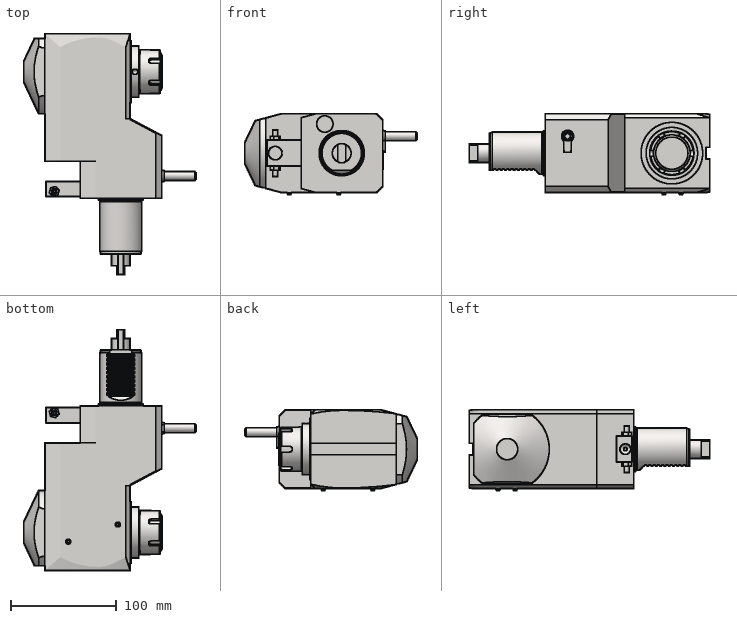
import cadquery as cq
import math


OVERALL_LENGTH = 228.0

TOP_Z = 37.5
HEAD_LEFT_X = -71.8
HEAD_RIGHT_X = 9.0
BASE_LEFT_X = -38.5
BASE_RIGHT_X = 39.0
BACK_Y = 156.0
STEP_Y = 35.0
SLOPE_START_Y = 59.5
SLOPE_END_Y = 75.5
LEFT_BEVEL = 14.5
LEFT_BEVEL_ANGLE = 15
LEFT_BEVEL_DROP = LEFT_BEVEL * math.tan(math.radians(LEFT_BEVEL_ANGLE))
BASE_BEVEL = 6.0
HEAD_BEVEL = 4.0
SLOPE_BEVEL = 0.7
CROWN_X = -21.2
CROWN_DROP = 0.7
CROWN_Y = 152.5
CROWN_END_Y = 143.2
KEYWAY_WIDTH = 10.7
KEYWAY_DEPTH = 3.6
PLUG_X = -16.0
PLUG_Z = 27.5
PLUG_RADIUS = 7.8
PLUG_RECESS = 0.2
NIPPLE_CENTERS = [(-49.7, 128.5), (-2.7, 112.5)]
NIPPLE_RADIUS = 2.3
NIPPLE_TIP_RADIUS = 1.4
NIPPLE_HEIGHT = 1.8

SPINDLE_Y = 120.0
CAP_RADIUS = 40.0
CAP_TIP_RADIUS = 10.0
CAP_TIP_X = -91.9
CAP_RIM_X = -77.7
CAP_BACK_Y = 151.6
CAP_HALF_HEIGHT = 32.8
PLATE_RADIUS = 29.2
PLATE_END_X = 9.8
COLLAR_RADIUS = 24.5
COLLAR_END_X = 17.0
COLLAR_HOLE_RADIUS = 2.7
COLLAR_HOLE_DEPTH = 2.7
NECK_RADIUS = 16.9
NUT_RADIUS = 21.0
NUT_START_X = 18.2
NUT_BEVEL_X = 36.3
NUT_END_X = 37.6
NUT_BEVEL_RADIUS = 20.3
NUT_LIP_RADIUS = 17.3
NUT_LIP_X = 38.3
NUT_FACE_RADIUS = 15.3
NUT_FACE_X = 39.2
NUT_SLOTS = 6
NUT_SLOT_START_X = 26.5
NUT_SLOT_WIDTH = 5.5
NUT_SLOT_DEPTH = 3.5

SHANK_RADIUS = 20.0
SHANK_LENGTH = 53.0
SHANK_TIP_RADIUS = 19.4
SHANK_TIP_LENGTH = 2.7
SHANK_TIP_BEVEL = 0.7
FLANGE_RADIUS = 21.5
FLANGE_RIM = 1.4
FLANGE_LENGTH = 2.3
RELIEF_RADIUS = 19.5
RELIEF_END = 3.2
RACK_TIP_Z = -16.5
RACK_ROOT_Z = -15.0
RACK_START = 10.3
FIRST_TOOTH = 13.2
LAST_TOOTH = 45.5
TOOTH_GAPS = 8
TOOTH_TIP = 0.7
TOOTH_ROOT = 1.1
TANG_RADIUS = 9.0
TANG_SHOULDER = 63.8
TANG_END = BACK_Y - OVERALL_LENGTH
BLADE_THICKNESS = 8.0
BLADE_BEVEL = 1.5

BLOCK_LEFT_X = -71.0
BLOCK_FRONT_Y = 1.5
BLOCK_BACK_Y = 16.5
BLOCK_HEIGHT = 25.0
BLOCK_BEVEL = 0.5
FRONT_PORT_X = -63.0
FRONT_PORT_RADIUS = 6.4
FRONT_PORT_DEPTH = 11.9
SIDE_PORT_Y = 8.0
SIDE_PORT_RADIUS = 5.0
FEED_RADIUS = 1.5
SCREW_Y = 6.5
SCREW_RADIUS = 2.5
SCREW_TOP = 22.1
SCREW_SOCKET_WIDTH = 2.7
SCREW_SOCKET_DEPTH = 2.3
HEX_CORNERS = 9.5
HEX_TOP = 16.2
HEX_TURN = 15

PIN_Y = 21.2
PIN_Z = 16.0
PIN_RADIUS = 4.3
PIN_END_X = 71.5
PIN_BEVEL = 1.5
PIN_COLLAR_RADIUS = 5.7
PIN_COLLAR_TIP_RADIUS = 5.0
PIN_COLLAR_LENGTH = 2.3
LUG_WIDTH = 6.8
LUG_BOTTOM_Z = 0.7
LUG_TAPER = 1.4

OVERLAP = 1.1
MARGIN = 11.5


def box(x0, x1, y0, y1, z0, z1):
    """Box between two opposite corners."""
    return cq.Workplane("XY").box(x1 - x0, y1 - y0, z1 - z0, centered=False).translate((x0, y0, z0))


def prism_along_y(points, y0, y1):
    """Polygon of (x, z) points swept from y0 to y1."""
    return cq.Workplane("XZ", origin=(0, y0, 0)).polyline(points).close().extrude(y0 - y1)


def turned_about_x(points, y, z):
    """Turned body from an (x, radius) outline about an X-parallel axis."""
    body = cq.Workplane("XY").polyline(points).close().revolve(360, (0, 0, 0), (1, 0, 0))
    return body.translate((0, y, z))


def both_sides(body):
    """A body together with its mirror image below Z = 0."""
    return body.union(body.mirror("XY"))


def edge_bevel(x, width, drop, y0, y1):
    """Cutters for the upper and lower edge at x; a positive width cuts toward +X."""
    corner = [
        (x, TOP_Z - drop),
        (x + width, TOP_Z),
        (x + width, TOP_Z + MARGIN),
        (x - width, TOP_Z + MARGIN),
        (x - width, TOP_Z - 2 * drop),
    ]
    return both_sides(prism_along_y(corner, y0, y1))


def halfway_on_arc(peak, end):
    """Middle point of the arc that leaves the peak level and falls to the end."""
    run = end[0] - peak[0]
    half_angle = math.atan2(peak[1] - end[1], abs(run))
    radius = run / math.sin(2 * half_angle)
    return (peak[0] + radius * math.sin(half_angle), peak[1] - abs(radius) * (1 - math.cos(half_angle)))


def crown_section(y, left, peak, right):
    """Closed (x, z) wire above two arcs that meet level at the peak, in the plane at y."""
    roof_z = TOP_Z + MARGIN
    return (
        cq.Workplane("XZ", origin=(0, y, 0))
        .moveTo(*left)
        .threePointArc(halfway_on_arc(peak, left), peak)
        .threePointArc(halfway_on_arc(peak, right), right)
        .lineTo(right[0], roof_z)
        .lineTo(left[0], roof_z)
        .close()
        .val()
    )


def crown_cutter():
    """Cutters that give the back of the head its crowned, sloping surfaces."""
    rise = CROWN_DROP * (BACK_Y - CROWN_END_Y) / (BACK_Y - CROWN_Y)
    back = crown_section(
        BACK_Y,
        (HEAD_LEFT_X, TOP_Z - LEFT_BEVEL_DROP),
        (CROWN_X, TOP_Z - CROWN_DROP),
        (HEAD_RIGHT_X, TOP_Z - HEAD_BEVEL),
    )
    front = crown_section(
        CROWN_END_Y,
        (HEAD_LEFT_X + LEFT_BEVEL, TOP_Z),
        (CROWN_X, TOP_Z - CROWN_DROP + rise),
        (HEAD_RIGHT_X - HEAD_BEVEL, TOP_Z),
    )
    return both_sides(cq.Workplane(obj=cq.Solid.makeLoft([back, front], True)))


def housing():
    """Beveled body with a crowned back, a keyway and a plug recess in the mounting face."""
    outline = [
        (BASE_LEFT_X, 0),
        (BASE_RIGHT_X, 0),
        (BASE_RIGHT_X, SLOPE_START_Y),
        (HEAD_RIGHT_X, SLOPE_END_Y),
        (HEAD_RIGHT_X, BACK_Y),
        (HEAD_LEFT_X, BACK_Y),
        (HEAD_LEFT_X, STEP_Y),
        (BASE_LEFT_X, STEP_Y),
    ]
    body = cq.Workplane("XY").workplane(offset=-TOP_Z).polyline(outline).close().extrude(2 * TOP_Z)
    slope = cq.Vector(HEAD_RIGHT_X - BASE_RIGHT_X, SLOPE_END_Y - SLOPE_START_Y, 0)
    body = body.edges(cq.selectors.ParallelDirSelector(slope)).chamfer(SLOPE_BEVEL)
    body = body.cut(edge_bevel(HEAD_LEFT_X, LEFT_BEVEL, LEFT_BEVEL_DROP, STEP_Y, BACK_Y))
    body = body.cut(edge_bevel(BASE_LEFT_X, LEFT_BEVEL, LEFT_BEVEL_DROP, 0, STEP_Y))
    body = body.cut(edge_bevel(HEAD_RIGHT_X, -HEAD_BEVEL, HEAD_BEVEL, SLOPE_END_Y, BACK_Y))
    body = body.cut(edge_bevel(BASE_RIGHT_X, -BASE_BEVEL, BASE_BEVEL, 0, SLOPE_END_Y))
    body = body.cut(crown_cutter())
    keyway = box(
        HEAD_LEFT_X, HEAD_RIGHT_X, BACK_Y - KEYWAY_DEPTH, BACK_Y, -KEYWAY_WIDTH / 2, KEYWAY_WIDTH / 2
    )
    plug = cq.Workplane("XZ").center(PLUG_X, PLUG_Z).circle(PLUG_RADIUS).extrude(-PLUG_RECESS)
    return body.cut(keyway).cut(plug)


def nipples():
    """Small tapered nipples under the head."""
    nipple = cq.Solid.makeCone(
        NIPPLE_RADIUS, NIPPLE_TIP_RADIUS, NIPPLE_HEIGHT, cq.Vector(0, 0, -TOP_Z), cq.Vector(0, 0, -1)
    )
    places = cq.Workplane("XY").pushPoints(NIPPLE_CENTERS)
    return places.eachpoint(lambda place: nipple.moved(place), combine=True)


def rear_cap():
    """Conical cap, trimmed to the bevels of the head and to the back."""
    cone = turned_about_x(
        [
            (CAP_TIP_X, 0),
            (CAP_TIP_X, CAP_TIP_RADIUS),
            (CAP_RIM_X, CAP_RADIUS),
            (HEAD_LEFT_X, CAP_RADIUS),
            (HEAD_LEFT_X, 0),
        ],
        SPINDLE_Y,
        0,
    )
    envelope = box(
        CAP_TIP_X, HEAD_LEFT_X, SPINDLE_Y - CAP_RADIUS, CAP_BACK_Y, -CAP_HALF_HEIGHT, CAP_HALF_HEIGHT
    )
    slope = math.tan(math.radians(LEFT_BEVEL_ANGLE))
    rim_z = TOP_Z - LEFT_BEVEL_DROP
    tip_z = rim_z - slope * (HEAD_LEFT_X - CAP_TIP_X)
    tapered = prism_along_y(
        [(CAP_TIP_X, -tip_z), (HEAD_LEFT_X, -rim_z), (HEAD_LEFT_X, rim_z), (CAP_TIP_X, tip_z)],
        SPINDLE_Y - CAP_RADIUS,
        CAP_BACK_Y,
    )
    return cone.intersect(envelope).intersect(tapered)


def spindle():
    """Collar and slotted clamping nut on the right of the head."""
    body = turned_about_x(
        [
            (HEAD_RIGHT_X - OVERLAP, 0),
            (HEAD_RIGHT_X - OVERLAP, PLATE_RADIUS),
            (PLATE_END_X, PLATE_RADIUS),
            (PLATE_END_X, COLLAR_RADIUS),
            (COLLAR_END_X, COLLAR_RADIUS),
            (COLLAR_END_X, NECK_RADIUS),
            (NUT_START_X, NECK_RADIUS),
            (NUT_START_X, NUT_RADIUS),
            (NUT_BEVEL_X, NUT_RADIUS),
            (NUT_END_X, NUT_BEVEL_RADIUS),
            (NUT_END_X, NUT_LIP_RADIUS),
            (NUT_LIP_X, NUT_LIP_RADIUS),
            (NUT_FACE_X, NUT_FACE_RADIUS),
            (NUT_FACE_X, 0),
        ],
        SPINDLE_Y,
        0,
    )
    slot_length = NUT_FACE_X - NUT_SLOT_START_X + MARGIN
    slot = (
        cq.Workplane("XY", origin=(NUT_SLOT_START_X + slot_length / 2, 0, NUT_RADIUS - NUT_SLOT_DEPTH))
        .slot2D(slot_length, NUT_SLOT_WIDTH)
        .extrude(MARGIN)
    )
    spacing = 360 / NUT_SLOTS
    for number in range(NUT_SLOTS):
        turned = slot.rotate((0, 0, 0), (1, 0, 0), (number + 0.5) * spacing)
        body = body.cut(turned.translate((0, SPINDLE_Y, 0)))
    hole = cq.Solid.makeCone(
        COLLAR_HOLE_RADIUS,
        0,
        COLLAR_HOLE_DEPTH,
        cq.Vector((PLATE_END_X + COLLAR_END_X) / 2, SPINDLE_Y, COLLAR_RADIUS),
        cq.Vector(0, 0, -1),
    )
    return body.cut(hole)


def shank():
    """Round shank with a toothed flat underneath and a drive tang."""
    outline = [
        (0, OVERLAP),
        (FLANGE_RADIUS, OVERLAP),
        (FLANGE_RADIUS, -FLANGE_RIM),
        (RELIEF_RADIUS, -FLANGE_LENGTH),
        (RELIEF_RADIUS, -RELIEF_END),
        (SHANK_RADIUS, -RELIEF_END),
        (SHANK_RADIUS, SHANK_TIP_LENGTH - SHANK_LENGTH),
        (SHANK_TIP_RADIUS, SHANK_TIP_LENGTH - SHANK_LENGTH),
        (SHANK_TIP_RADIUS, SHANK_TIP_BEVEL - SHANK_LENGTH),
        (SHANK_TIP_RADIUS - SHANK_TIP_BEVEL, -SHANK_LENGTH),
        (0, -SHANK_LENGTH),
    ]
    body = cq.Workplane("XY").polyline(outline).close().revolve(360, (0, 0, 0), (0, 1, 0))
    return body.cut(rack_cutter()).union(tang())


def rack_cutter():
    """Flat under the shank, with grooves that leave evenly spaced teeth."""
    floor_z = -SHANK_RADIUS - MARGIN
    runout = RACK_START - (RACK_ROOT_Z - floor_z)
    flat_start = RACK_START - (RACK_ROOT_Z - RACK_TIP_Z)
    flat = [
        (-flat_start, RACK_TIP_Z),
        (-SHANK_LENGTH, RACK_TIP_Z),
        (-SHANK_LENGTH, floor_z),
        (-runout, floor_z),
    ]
    pitch = (LAST_TOOTH - FIRST_TOOTH) / TOOTH_GAPS
    cutter = cq.Workplane("YZ").polyline(flat).close().extrude(SHANK_RADIUS, both=True)
    for number in range(TOOTH_GAPS + 2):
        middle_y = -FIRST_TOOTH - (number - 0.5) * pitch
        half_mouth = (pitch - TOOTH_TIP) / 2
        groove = [
            (middle_y - half_mouth, RACK_TIP_Z),
            (middle_y - TOOTH_ROOT / 2, RACK_ROOT_Z),
            (middle_y + TOOTH_ROOT / 2, RACK_ROOT_Z),
            (middle_y + half_mouth, RACK_TIP_Z),
        ]
        cutter = cutter.union(cq.Workplane("YZ").polyline(groove).close().extrude(SHANK_RADIUS, both=True))
    return cutter


def tang():
    """Drive tang: a round stem that ends in a flat blade."""
    start_y = OVERLAP - SHANK_LENGTH
    stem = cq.Workplane("XZ", origin=(0, start_y, 0)).circle(TANG_RADIUS).extrude(start_y + TANG_SHOULDER)
    half_thickness = BLADE_THICKNESS / 2
    blade = box(-half_thickness, half_thickness, TANG_END, start_y, -TANG_RADIUS, TANG_RADIUS)
    return stem.union(blade.edges("|Y").chamfer(BLADE_BEVEL))


def coolant_block():
    """Bored block with a set screw and lock nut above and below."""
    half_height = BLOCK_HEIGHT / 2
    body = box(BLOCK_LEFT_X, BASE_LEFT_X, BLOCK_FRONT_Y, BLOCK_BACK_Y, -half_height, half_height)
    body = body.edges("|X or <X").chamfer(BLOCK_BEVEL)
    body = body.union(both_sides(set_screw()))
    front_port = (
        cq.Workplane("XZ", origin=(FRONT_PORT_X, BLOCK_FRONT_Y, 0))
        .circle(FRONT_PORT_RADIUS)
        .extrude(-FRONT_PORT_DEPTH)
    )
    side = cq.Workplane("YZ", origin=(BLOCK_LEFT_X, SIDE_PORT_Y, 0))
    side_port = side.circle(SIDE_PORT_RADIUS).extrude(FRONT_PORT_X - BLOCK_LEFT_X)
    feed = side.circle(FEED_RADIUS).extrude(BASE_LEFT_X - BLOCK_LEFT_X)
    return body.cut(front_port).cut(side_port).cut(feed)


def set_screw():
    """Upper set screw with a hexagon socket and its lock nut."""
    start_z = BLOCK_HEIGHT / 2 - OVERLAP
    base = cq.Workplane("XY", origin=(FRONT_PORT_X, SCREW_Y, start_z))
    rod = base.circle(SCREW_RADIUS).extrude(SCREW_TOP - start_z)
    rod = rod.faces(">Z").workplane().polygon(6, SCREW_SOCKET_WIDTH).cutBlind(-SCREW_SOCKET_DEPTH)
    nut = base.transformed(rotate=(0, 0, HEX_TURN)).polygon(6, HEX_CORNERS).extrude(HEX_TOP - start_z)
    return nut.union(rod)


def locating_pin():
    """Pin with a tapered collar and a small lug below it."""
    collar_end = BASE_RIGHT_X + PIN_COLLAR_LENGTH
    pin = turned_about_x(
        [
            (BASE_RIGHT_X - OVERLAP, 0),
            (BASE_RIGHT_X - OVERLAP, PIN_COLLAR_RADIUS),
            (BASE_RIGHT_X, PIN_COLLAR_RADIUS),
            (collar_end, PIN_COLLAR_TIP_RADIUS),
            (collar_end, PIN_RADIUS),
            (PIN_END_X - PIN_BEVEL, PIN_RADIUS),
            (PIN_END_X, PIN_RADIUS - PIN_BEVEL),
            (PIN_END_X, 0),
        ],
        PIN_Y,
        PIN_Z,
    )
    lug = prism_along_y(
        [
            (BASE_RIGHT_X, PIN_Z),
            (collar_end, PIN_Z),
            (collar_end, LUG_BOTTOM_Z),
            (BASE_RIGHT_X, LUG_BOTTOM_Z + LUG_TAPER),
        ],
        PIN_Y - LUG_WIDTH / 2,
        PIN_Y + LUG_WIDTH / 2,
    )
    return pin.union(lug)


result = housing()
for feature in (nipples, rear_cap, spindle, shank, coolant_block, locating_pin):
    result = result.union(feature())